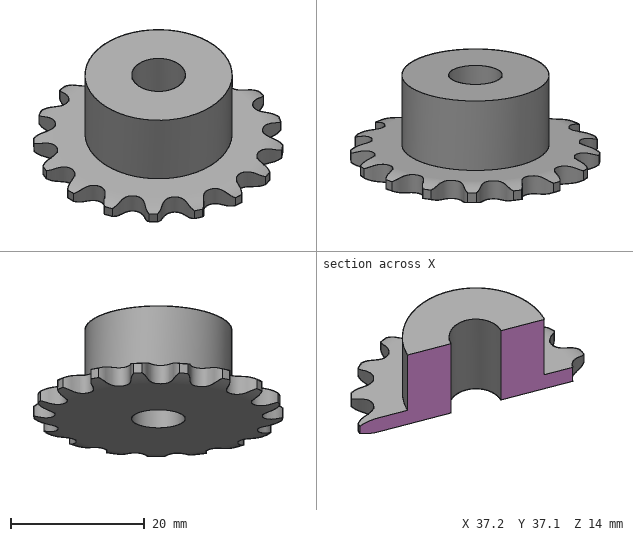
import cadquery as cq
import math

TOOTH_COUNT = 17
OUTER_RADIUS = 18.65
PLATE_THICKNESS = 2.9
FLAT_RADIUS = 15.75
SIDE_ARC_RADIUS = 6.33

PITCH_RADIUS = 17.28
SEAT_RADIUS = 1.7
WORKING_RADIUS = 4.35
TIP_RADIUS = 2.65
SEAT_ANGLE = 51.5
WORKING_ANGLE = 14.7
FLANK_LENGTH = 0.35
GAP_CLEARANCE = 0.07

TOTAL_HEIGHT = 14.0
HUB_DIAMETER = 22.0
BORE_DIAMETER = 8.0


def polar(center, radius, angle):
    """Point at a distance and an angle (degrees) from a centre."""
    turn = math.radians(angle)
    return (center[0] + radius * math.cos(turn), center[1] + radius * math.sin(turn))


def side_drop(radius):
    """Depth of the rounded tooth side below the plate face at a given radius."""
    return SIDE_ARC_RADIUS - math.sqrt(SIDE_ARC_RADIUS**2 - (radius - FLAT_RADIUS)**2)


def plate_blank():
    """Disc whose rim narrows symmetrically along arcs tangent to both faces."""
    middle_radius = (FLAT_RADIUS + OUTER_RADIUS) / 2
    middle_drop = side_drop(middle_radius)
    rim_drop = side_drop(OUTER_RADIUS)
    return (
        cq.Workplane("XZ")
        .lineTo(FLAT_RADIUS, 0)
        .threePointArc((middle_radius, middle_drop), (OUTER_RADIUS, rim_drop))
        .lineTo(OUTER_RADIUS, PLATE_THICKNESS - rim_drop)
        .threePointArc((middle_radius, PLATE_THICKNESS - middle_drop), (FLAT_RADIUS, PLATE_THICKNESS))
        .lineTo(0, PLATE_THICKNESS)
        .close()
        .revolve(360, (0, 0, 0), (0, 1, 0))
    )


def roller_gap():
    """Cutter for the gap centred on +Y: its right half, mirrored across the centre line."""
    seat_center = (0, PITCH_RADIUS)
    seat_start_angle = -90
    seat_end_angle = seat_start_angle + SEAT_ANGLE
    seat_start = polar(seat_center, SEAT_RADIUS, seat_start_angle)
    seat_middle = polar(seat_center, SEAT_RADIUS, seat_start_angle + SEAT_ANGLE / 2)
    seat_end = polar(seat_center, SEAT_RADIUS, seat_end_angle)

    working_center = polar(seat_end, -WORKING_RADIUS, seat_end_angle)
    working_end_angle = seat_end_angle + WORKING_ANGLE
    working_middle = polar(working_center, WORKING_RADIUS, seat_end_angle + WORKING_ANGLE / 2)
    working_end = polar(working_center, WORKING_RADIUS, working_end_angle)

    flank_end = polar(working_end, FLANK_LENGTH, working_end_angle + 90)

    gap_top = OUTER_RADIUS + GAP_CLEARANCE
    tip_center = polar(flank_end, TIP_RADIUS, working_end_angle)
    tip_start_angle = working_end_angle + 180
    tip_end_angle = 180 - math.degrees(math.asin((gap_top - tip_center[1]) / TIP_RADIUS))
    tip_middle = polar(tip_center, TIP_RADIUS, (tip_start_angle + tip_end_angle) / 2)
    tip_end = polar(tip_center, TIP_RADIUS, tip_end_angle)

    return (
        cq.Workplane("XY")
        .moveTo(*seat_start)
        .threePointArc(seat_middle, seat_end)
        .threePointArc(working_middle, working_end)
        .lineTo(*flank_end)
        .threePointArc(tip_middle, tip_end)
        .lineTo(0, gap_top)
        .mirrorY()
        .extrude(PLATE_THICKNESS)
    )


def toothed_plate():
    """Plate with the roller gaps cut evenly around its rim, leaving one tooth along -Y."""
    plate = plate_blank()
    gap = roller_gap()
    for index in range(TOOTH_COUNT):
        plate = plate.cut(gap.rotate((0, 0, 0), (0, 0, 1), index * 360 / TOOTH_COUNT))
    return plate


hub = cq.Workplane("XY").circle(HUB_DIAMETER / 2).extrude(TOTAL_HEIGHT)
bore = cq.Workplane("XY").circle(BORE_DIAMETER / 2).extrude(TOTAL_HEIGHT)

result = toothed_plate().union(hub).cut(bore)